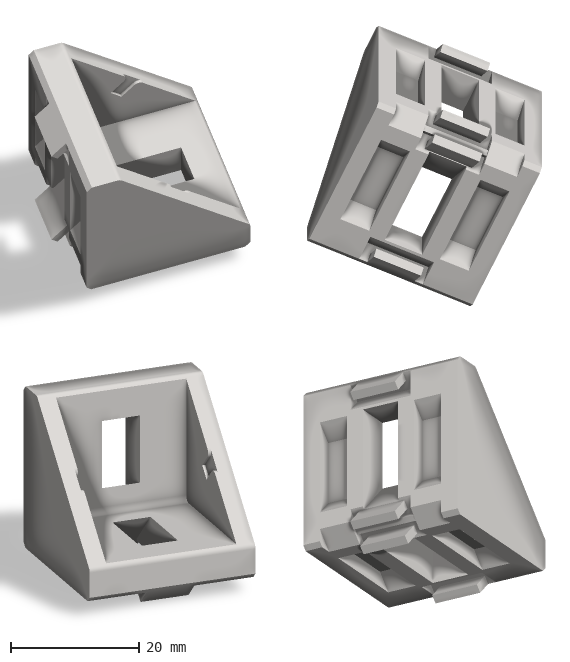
import cadquery as cq
import math


width = 28.0
leg = 27.0
end_flat = 5.47
slope_corner_radius = 1.0
heel_chamfer = 0.75
toe_chamfer = 0.85

side_wall = 3.0
leg_wall = 6.0
cavity_corner_radius = 1.0

snap_slot_width = 2.5
snap_slot_depth = 4.0
snap_slot_recess = 0.5
snap_lip_radius = 1.0

window_width = 6.4
window_far_end = 21.45
window_slope_start = 4.24

pocket_width = 4.95
pocket_near_end = 5.65
pocket_far_end = 21.0
pocket_depth = 2.55

tab_width = 8.1
tab_overhang = 2.42
tab_thickness = 1.43
notch_width = 10.9
notch_span = 4.24
heel_notch_start = 0.7
heel_tab_top = 4.06

heel_relief = 2.83
heel_core_bevel = 3.55

middle = width / 2
overlap = 1.0


def prism(profile, x_size, x_middle=middle):
    """Extrude a (y, z) polygon symmetrically about x_middle."""
    return cq.Workplane("YZ", origin=(x_middle - x_size / 2, 0, 0)).polyline(profile).close().extrude(x_size)


def on_both_legs(profile, x_size, x_middle=middle):
    """Make a prism on the front leg and its mirror image on the base leg."""
    mirrored = [(z, y) for y, z in profile]
    return prism(profile, x_size, x_middle).union(prism(mirrored, x_size, x_middle))


def body():
    wedge = prism(
        [
            (heel_chamfer, 0),
            (leg - toe_chamfer, 0),
            (leg, toe_chamfer),
            (leg, end_flat),
            (end_flat, leg),
            (toe_chamfer, leg),
            (0, leg - toe_chamfer),
            (0, heel_chamfer),
        ],
        width,
    )
    for y, z in [(leg, end_flat), (end_flat, leg)]:
        slope_corner = cq.selectors.NearestToPointSelector((middle, y, z))
        wedge = wedge.edges(slope_corner).fillet(slope_corner_radius)
    return wedge


def cavity():
    reach = leg + end_flat + overlap - leg_wall
    hollow = prism([(leg_wall, leg_wall), (reach, leg_wall), (leg_wall, reach)], width - 2 * side_wall)
    inner_corner = cq.selectors.NearestToPointSelector((middle, leg_wall, leg_wall))
    return hollow.edges(inner_corner).fillet(cavity_corner_radius)


def snap_slots():
    """Slot with rounded lips, running square to the slope and across both side walls."""
    slope_middle = (leg + end_flat) / 2
    x_size = width - 2 * side_wall + 2 * snap_slot_recess
    half = snap_slot_width / 2
    lip = snap_lip_radius
    slope_plane = cq.Plane(
        origin=(middle - x_size / 2, slope_middle, slope_middle), xDir=(0, 1, -1), normal=(1, 0, 0)
    )
    bend = lip * (1 - math.sqrt(0.5))
    return (
        cq.Workplane(slope_plane)
        .moveTo(-half, -snap_slot_depth)
        .lineTo(half, -snap_slot_depth)
        .lineTo(half, -lip)
        .threePointArc((half + bend, -bend), (half + lip, 0))
        .lineTo(-half - lip, 0)
        .threePointArc((-half - bend, -bend), (-half, -lip))
        .close()
        .extrude(x_size)
    )


def windows():
    inside = leg_wall + overlap
    return on_both_legs(
        [
            (-overlap, window_slope_start - overlap),
            (inside, window_slope_start + inside),
            (inside, window_far_end),
            (-overlap, window_far_end),
        ],
        window_width,
    )


def pockets():
    profile = [
        (0, pocket_near_end),
        (pocket_depth, pocket_near_end + pocket_depth),
        (pocket_depth, pocket_far_end - pocket_depth),
        (0, pocket_far_end),
    ]
    offset = middle - side_wall - pocket_width / 2
    left = on_both_legs(profile, pocket_width, middle - offset)
    right = on_both_legs(profile, pocket_width, middle + offset)
    return left.union(right)


def notches():
    cutters = prism([(0, 0), (heel_relief, 0), (0, heel_relief)], width - 2 * side_wall)
    cutters = cutters.union(prism([(0, 0), (heel_core_bevel, 0), (0, heel_core_bevel)], notch_width))
    for start in [heel_notch_start, leg - toe_chamfer - notch_span]:
        apex = (notch_span / 2, start + notch_span / 2)
        cutters = cutters.union(on_both_legs([(0, start), apex, (0, start + notch_span)], notch_width))
    return cutters


def tab(outer_top, root):
    """Tab on each leg whose outer side meets the face at outer_top, growing from the line y + z = root."""
    outer_bottom = outer_top - tab_thickness * math.sqrt(2)
    tip = outer_top - 2 * tab_overhang
    corners = [(root, outer_top), (tip, outer_top), (tip, outer_bottom), (root, outer_bottom)]
    profile = [((total - rise) / 2, (total + rise) / 2) for total, rise in corners]
    return on_both_legs(profile, tab_width)


def tabs():
    heel_tab = tab(heel_tab_top, heel_notch_start + notch_span)
    toe_tab = tab(leg - toe_chamfer, leg - toe_chamfer)
    return heel_tab.union(toe_tab)


result = body().cut(cavity()).cut(snap_slots()).cut(windows()).cut(pockets()).cut(notches()).union(tabs())